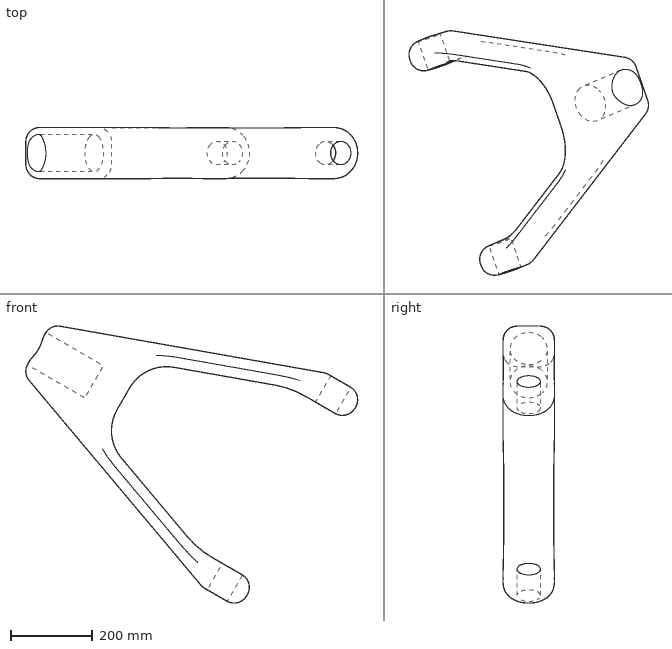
import cadquery as cq
import math

tilt = 30.0
arm_angle = 20.0
thickness = 126.0
edge_radius = 35.0
length = 750.0
hub_half_width = 68.5
web_length = 246.0
arm_width = 51.0
finger_center = 266.0
finger_width = 75.0
crotch_radius = 104.0
finger_bend_radius = 228.0
hub_hole_diameter = 91.0
hub_hole_depth = 163.0
finger_hole_diameter = 57.0

slope = math.tan(math.radians(arm_angle))
tip_radius = thickness / 2
tip_center = length - tip_radius
finger_outer = finger_center + finger_width / 2
finger_inner = finger_center - finger_width / 2
inner_start = hub_half_width - arm_width / math.cos(math.radians(arm_angle))
outer_bend = (finger_outer - hub_half_width) / slope
inner_bend = (finger_inner - inner_start) / slope
crotch_half_width = inner_start + slope * web_length
margin = 81.5


def symmetric_prism(upper_points, half_depth):
    """Extrude an outline mirrored about the U axis, centred on the Y = 0 plane."""
    lower_points = [(u, -v) for u, v in reversed(upper_points)]
    outline = cq.Workplane("XZ").polyline(upper_points + lower_points).close()
    return outline.extrude(half_depth, both=True)


def near(u, v):
    """Select the edges parallel to Y at (u, v) and its mirror image."""
    size = 1.0
    selectors = [
        cq.selectors.BoxSelector(
            (u - size, -thickness, side * v - size),
            (u + size, thickness, side * v + size),
        )
        for side in (1, -1)
    ]
    return selectors[0] + selectors[1]


def rounded_plan(start, half_height):
    """Plate in the U-Y plane with a full-round end at the finger tips."""
    return (
        cq.Workplane("XY")
        .moveTo(start, -tip_radius)
        .lineTo(tip_center, -tip_radius)
        .threePointArc((length, 0), (tip_center, tip_radius))
        .lineTo(start, tip_radius)
        .close()
        .extrude(half_height, both=True)
    )


def outer_body():
    """Solid wedge bounded by the outer faces, with all its outer edges rounded."""
    wedge = symmetric_prism(
        [(0, hub_half_width), (outer_bend, finger_outer), (length + margin, finger_outer)],
        thickness,
    )
    body = wedge.intersect(rounded_plan(-margin, finger_outer + margin))
    return body.edges("<X or (not |Z)").fillet(edge_radius)


def inner_relief():
    """Block with the opening between the arms, its mouth edges rounded."""
    opening = symmetric_prism(
        [
            (web_length, crotch_half_width),
            (inner_bend, finger_inner),
            (length + margin, finger_inner),
        ],
        thickness,
    )
    opening = opening.edges(near(web_length, crotch_half_width)).fillet(crotch_radius)
    opening = opening.edges(near(inner_bend, finger_inner)).fillet(finger_bend_radius)
    block = rounded_plan(-margin, finger_outer + margin).cut(opening)
    opening_edges = cq.selectors.BoxSelector(
        (0, -thickness, -finger_center),
        (length, thickness, finger_center),
    )
    return block.edges(opening_edges).edges("not |Y").fillet(edge_radius)


def hub_hole():
    """Blind bore into the hub face, along the symmetry axis."""
    return cq.Workplane("YZ").circle(hub_hole_diameter / 2).extrude(hub_hole_depth)


def finger_holes():
    """Bore across both fingers, concentric with their round tips."""
    return (
        cq.Workplane("XY")
        .center(tip_center, 0)
        .circle(finger_hole_diameter / 2)
        .extrude(finger_outer + margin, both=True)
    )


bracket = outer_body().intersect(inner_relief())
bracket = bracket.cut(hub_hole()).cut(finger_holes())
result = bracket.rotate((0, 0, 0), (0, 1, 0), tilt)